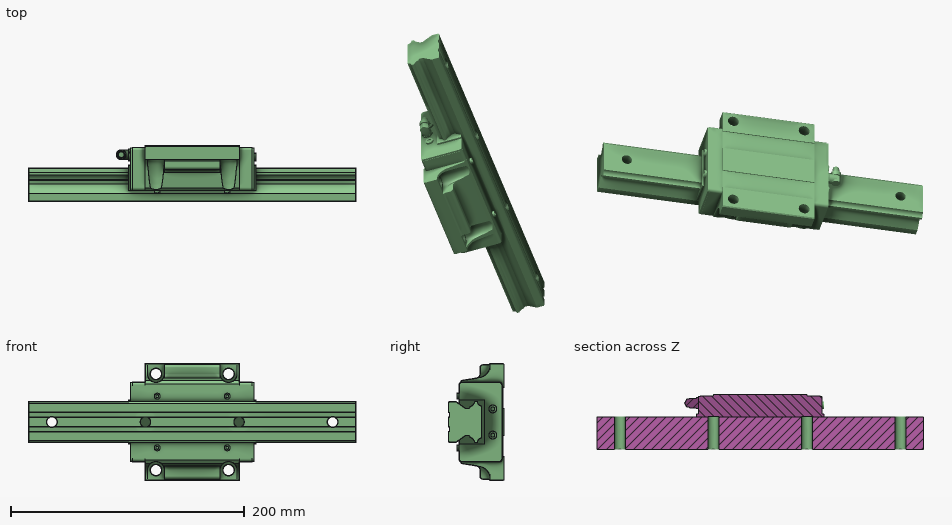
import cadquery as cq

RAIL_LENGTH = 280.0
RAIL_WIDTH = 34.7
RAIL_HEIGHT = 28.5
RAIL_HEAD_WIDTH = 27.5
RAIL_WAIST_WIDTH = 23.0
FOOT_CHAMFER_HEIGHT = 0.5
FOOT_CHAMFER_WIDTH = 1.5
FOOT_GROOVE_INNER = 4.0
FOOT_GROOVE_OUTER = 8.5
FOOT_GROOVE_DEPTH = 0.8
FOOT_TOP = 6.7
WAIST_BOTTOM = 14.8
WAIST_TOP = 18.0
RAIL_HOLE_PITCH = 80.0
RAIL_HOLE_COUNT = 4
RAIL_HOLE_DIAMETER = 9.0

LOWER_RACE_START = (18.8, 13.2)
LOWER_RACE_MIDPOINT = (21.0, 14.5)
UPPER_RACE_MIDPOINT = (26.0, 14.8)
RACE_RIDGE_BOTTOM = 22.7
RACE_RIDGE_TOP = 25.0

CARRIAGE_BOTTOM = 9.2
CARRIAGE_TOP = 48.0
BLOCK_LENGTH = 80.5
CARRIAGE_WIDTH = 100.0
FLANGE_UNDERSIDE = 35.8
FLANGE_EDGE_CHAMFER = 0.8
SKIRT_FLAT_HALF_WIDTH = 32.5
SKIRT_EDGE_HALF_WIDTH = 35.5
SKIRT_EDGE_TOP = 11.5
CURVE_END_Y = 27.0
CURVE_END_HALF_WIDTH = 38.0
CURVE_MIDPOINT = (32.5, 41.0)

RELIEF_DEPTH = 0.8
RELIEF_INNER = 11.8
RELIEF_OUTER = 29.7

MOUNT_HOLE_X = 31.0
MOUNT_HOLE_Z = 41.2
MOUNT_HOLE_DIAMETER = 9.5
SPOTFACE_RADIUS = 7.3
RIB_BOTTOM = 27.2
RIB_OUTER = 49.0
RIB_EDGE_RADIUS = 2.5
RIB_LIP_SLOPE = 1.5
RIB_BURIED_Z = 35.0
ROOT_FILLET_START_Y = 24.5
ROOT_FILLET_START_Z = 37.5
ROOT_FILLET_END_Z = 41.0
ROOT_FILLET_RADIUS = 4.0

CAP_END_X = 53.0
CAP_TOP = 46.2
CAP_WIDTH = 68.3
CAP_EDGE_RADIUS = 2.5
END_PLATE_THICKNESS = 1.7
END_PLATE_INSET = 0.3
SEAL_THICKNESS = 1.7
SEAL_WIDTH = 37.5
SEAL_TOP = 31.0

SCREW_Y = 38.0
SCREW_Z = 11.2
SCREW_RADIUS = 3.5
SCREW_HEIGHT = 1.7
STUD_X = 30.0
STUD_Z = 22.0
STUD_RADIUS = 2.5
STUD_HEIGHT = 2.0
SOCKET_RADIUS_RATIO = 0.5
SOCKET_DEPTH = 0.8

NIPPLE_Y = 40.0
NIPPLE_FOOT_CORNERS = 9.8
NIPPLE_FOOT_THICKNESS = 1.7
NIPPLE_RADIUS = 4.2
NIPPLE_AXIS_X = -60.8
ELBOW_BOTTOM_Z = -4.2
ELBOW_TOP_Z = 1.5
NIPPLE_NECK_RADIUS = 3.0
COLLAR_BOTTOM_Z = 2.8
COLLAR_TOP_Z = 6.7
NIPPLE_NECK_TOP_Z = 9.2
NIPPLE_TIP_Z = 11.8
NIPPLE_TIP_RADIUS = 2.5


def mirror_both(half):
    """Join a +Z half with its mirror image in Z = 0."""
    return half.union(half.mirror("XY"))


def slab(y_min, y_max, width, x_start, length):
    """Box centred on Z = 0, from x_start towards +X, or -X for a negative length."""
    return (
        cq.Workplane("YZ", origin=(x_start, (y_min + y_max) / 2, 0))
        .rect(y_max - y_min, width)
        .extrude(length)
    )


def rail_bar():
    """Solid rail section without its holes."""
    half_width = RAIL_WIDTH / 2
    waist = RAIL_WAIST_WIDTH / 2
    half = (
        cq.Workplane("YZ", origin=(-RAIL_LENGTH / 2, 0, 0))
        .moveTo(0, 0)
        .lineTo(0, FOOT_GROOVE_INNER)
        .lineTo(FOOT_GROOVE_DEPTH, FOOT_GROOVE_INNER + FOOT_GROOVE_DEPTH / 2)
        .lineTo(FOOT_GROOVE_DEPTH, FOOT_GROOVE_OUTER - FOOT_GROOVE_DEPTH / 2)
        .lineTo(0, FOOT_GROOVE_OUTER)
        .lineTo(0, half_width - FOOT_CHAMFER_WIDTH)
        .lineTo(FOOT_CHAMFER_HEIGHT, half_width)
        .lineTo(FOOT_TOP, half_width)
        .lineTo(WAIST_BOTTOM, waist)
        .lineTo(WAIST_TOP, waist)
        .lineTo(*LOWER_RACE_START)
        .threePointArc(LOWER_RACE_MIDPOINT, (RACE_RIDGE_BOTTOM, half_width))
        .lineTo(RACE_RIDGE_TOP, half_width)
        .threePointArc(UPPER_RACE_MIDPOINT, (RAIL_HEIGHT, RAIL_HEAD_WIDTH / 2))
        .lineTo(RAIL_HEIGHT, 0)
        .close()
        .extrude(RAIL_LENGTH)
    )
    return mirror_both(half)


def make_rail():
    rail = rail_bar()
    first_hole = -(RAIL_HOLE_COUNT - 1) * RAIL_HOLE_PITCH / 2
    for i in range(RAIL_HOLE_COUNT):
        hole = (
            cq.Workplane("XZ", origin=(first_hole + i * RAIL_HOLE_PITCH, 0, 0))
            .circle(RAIL_HOLE_DIAMETER / 2)
            .extrude(-RAIL_HEIGHT)
        )
        rail = rail.cut(hole)
    return rail


def flanged_block():
    """Block whose sides flare through a concave curve into the flanges."""
    half_width = CARRIAGE_WIDTH / 2
    half = (
        cq.Workplane("YZ", origin=(-BLOCK_LENGTH / 2, 0, 0))
        .moveTo(CARRIAGE_BOTTOM, 0)
        .lineTo(CARRIAGE_BOTTOM, SKIRT_FLAT_HALF_WIDTH)
        .lineTo(SKIRT_EDGE_TOP, SKIRT_EDGE_HALF_WIDTH)
        .lineTo(CURVE_END_Y, CURVE_END_HALF_WIDTH)
        .threePointArc(CURVE_MIDPOINT, (FLANGE_UNDERSIDE, RIB_OUTER))
        .lineTo(FLANGE_UNDERSIDE, half_width)
        .lineTo(CARRIAGE_TOP - FLANGE_EDGE_CHAMFER, half_width)
        .lineTo(CARRIAGE_TOP, half_width - FLANGE_EDGE_CHAMFER)
        .lineTo(CARRIAGE_TOP, RELIEF_OUTER)
        .lineTo(CARRIAGE_TOP - RELIEF_DEPTH, RELIEF_OUTER)
        .lineTo(CARRIAGE_TOP - RELIEF_DEPTH, RELIEF_INNER)
        .lineTo(CARRIAGE_TOP, RELIEF_INNER)
        .lineTo(CARRIAGE_TOP, 0)
        .close()
        .extrude(BLOCK_LENGTH)
    )
    return mirror_both(half)


def flange_ribs():
    """One rib per flange, filling the flare between the two spotfaces."""
    rib_length = 2 * (MOUNT_HOLE_X - SPOTFACE_RADIUS)
    rib = (
        cq.Workplane("YZ", origin=(-rib_length / 2, 0, 0))
        .moveTo(ROOT_FILLET_START_Y, RIB_BURIED_Z)
        .lineTo(ROOT_FILLET_START_Y, ROOT_FILLET_START_Z)
        .radiusArc((RIB_BOTTOM, ROOT_FILLET_END_Z), -ROOT_FILLET_RADIUS)
        .lineTo(RIB_BOTTOM, RIB_OUTER - RIB_EDGE_RADIUS)
        .radiusArc((RIB_BOTTOM + RIB_EDGE_RADIUS, RIB_OUTER), RIB_EDGE_RADIUS)
        .lineTo(FLANGE_UNDERSIDE - RIB_LIP_SLOPE, RIB_OUTER)
        .lineTo(FLANGE_UNDERSIDE, CARRIAGE_WIDTH / 2)
        .lineTo(FLANGE_UNDERSIDE, RIB_BURIED_Z)
        .close()
        .extrude(rib_length)
    )
    return mirror_both(rib)


def mount_hole_cut(x):
    """Through hole with a spotface open towards the flange edge."""
    depth = FLANGE_UNDERSIDE - CARRIAGE_BOTTOM
    slot_reach = CARRIAGE_WIDTH / 2 - MOUNT_HOLE_Z
    plane = cq.Workplane("XZ", origin=(x, CARRIAGE_BOTTOM, MOUNT_HOLE_Z))
    spotface = plane.circle(SPOTFACE_RADIUS).extrude(-depth)
    slot = (
        plane.center(0, slot_reach / 2)
        .rect(2 * SPOTFACE_RADIUS, slot_reach)
        .extrude(-depth)
    )
    hole = plane.circle(MOUNT_HOLE_DIAMETER / 2).extrude(CARRIAGE_BOTTOM - CARRIAGE_TOP)
    return mirror_both(spotface.union(slot).union(hole))


def end_cap(side):
    """Cap, end plate and seal stacked outwards at the -X (side = -1) or +X (side = 1) end."""
    block_end = side * BLOCK_LENGTH / 2
    cap_length = side * (CAP_END_X - END_PLATE_THICKNESS) - block_end
    plate_length = side * CAP_END_X - block_end
    cap = slab(CARRIAGE_BOTTOM, CAP_TOP, CAP_WIDTH, block_end, cap_length)
    plate = slab(
        CARRIAGE_BOTTOM,
        CAP_TOP - END_PLATE_INSET,
        CAP_WIDTH - 2 * END_PLATE_INSET,
        block_end,
        plate_length,
    )
    seal = slab(CARRIAGE_BOTTOM, SEAL_TOP, SEAL_WIDTH, side * CAP_END_X, side * SEAL_THICKNESS)
    rounded_cap = cap.edges("|X").fillet(CAP_EDGE_RADIUS)
    rounded_plate = plate.edges("|X").fillet(CAP_EDGE_RADIUS)
    return rounded_cap.union(rounded_plate).union(seal)


def socket_head(plane, radius, height):
    """Round head rising along the plane's normal, with a blind socket in its face."""
    head = plane.circle(radius).extrude(height)
    socket = (
        plane.workplane(offset=height)
        .circle(radius * SOCKET_RADIUS_RATIO)
        .extrude(-SOCKET_DEPTH)
    )
    return head.cut(socket)


def end_screw(side, z):
    normal = (side, 0, 0)
    plane = cq.Workplane(cq.Plane(origin=(side * CAP_END_X, SCREW_Y, z), normal=normal))
    return socket_head(plane, SCREW_RADIUS, SCREW_HEIGHT)


def stud(x, z):
    plane = cq.Workplane("XZ", origin=(x, CARRIAGE_BOTTOM, z))
    return socket_head(plane, STUD_RADIUS, STUD_HEIGHT)


def make_carriage():
    carriage = flanged_block().union(flange_ribs())
    for side in (-1, 1):
        carriage = carriage.cut(mount_hole_cut(side * MOUNT_HOLE_X)).union(end_cap(side))
        for z in (-SCREW_Z, SCREW_Z):
            carriage = carriage.union(end_screw(side, z))
        for z in (-STUD_Z, STUD_Z):
            carriage = carriage.union(stud(side * STUD_X, z))
    return carriage.cut(rail_bar())


def make_nipple():
    base = cq.Workplane("YZ", origin=(-CAP_END_X, NIPPLE_Y, 0))
    foot = base.polygon(6, NIPPLE_FOOT_CORNERS).extrude(-NIPPLE_FOOT_THICKNESS)
    shank = base.circle(NIPPLE_RADIUS).extrude(NIPPLE_AXIS_X + CAP_END_X)
    elbow = (
        cq.Workplane("XY", origin=(NIPPLE_AXIS_X, NIPPLE_Y, ELBOW_BOTTOM_Z))
        .polygon(6, 2 * NIPPLE_RADIUS)
        .extrude(ELBOW_TOP_Z - ELBOW_BOTTOM_Z)
    )
    head = (
        cq.Workplane("XZ", origin=(NIPPLE_AXIS_X, NIPPLE_Y, 0))
        .lineTo(NIPPLE_NECK_RADIUS, 0)
        .lineTo(NIPPLE_NECK_RADIUS, COLLAR_BOTTOM_Z)
        .lineTo(NIPPLE_RADIUS, COLLAR_BOTTOM_Z)
        .lineTo(NIPPLE_RADIUS, COLLAR_TOP_Z)
        .lineTo(NIPPLE_NECK_RADIUS, COLLAR_TOP_Z)
        .lineTo(NIPPLE_NECK_RADIUS, NIPPLE_NECK_TOP_Z)
        .lineTo(NIPPLE_TIP_RADIUS, NIPPLE_TIP_Z)
        .lineTo(0, NIPPLE_TIP_Z)
        .close()
        .revolve(360, (0, 0, 0), (0, 1, 0))
    )
    return foot.union(shank).union(elbow).union(head)


rail = make_rail()
carriage = make_carriage()
nipple = make_nipple()

result = cq.Compound.makeCompound([rail.val(), carriage.val(), nipple.val()])